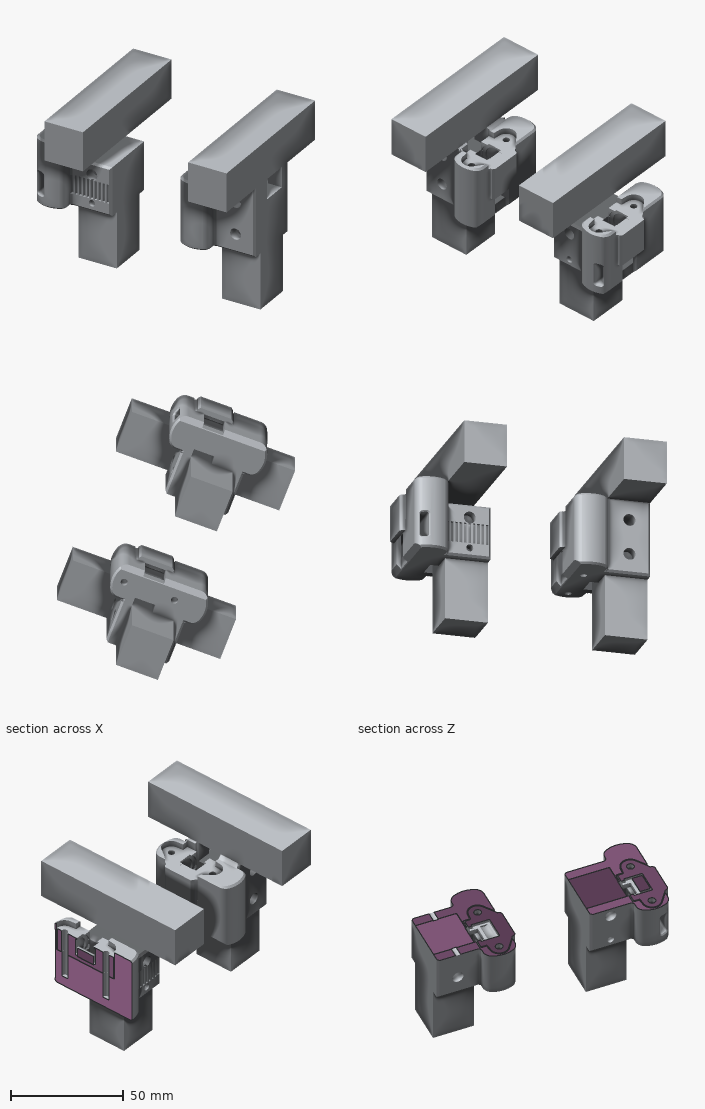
import cadquery as cq
import math

BAR = 19.9
TOTAL_X = 113.0
TOTAL_Z = 83.5
BAR_LENGTH = 77.7
UNIT_PITCH = 74.2
BAR_BACK = TOTAL_X - UNIT_PITCH
BAR_FRONT = BAR_BACK - BAR
BAR_BOTTOM = TOTAL_Z - BAR
POST_TOP = 53.3
POST_Y = 0.8

CHEEK = 5.0
BRACKET_HALF = BAR / 2 + CHEEK
BASE_Z = 28.6
BRACKET_CHAMFER = 1.0
ROOT = 4.5
COVE = 0.9
HOLE_X = BAR_FRONT + BAR / 2
BOLT_D = 5.5
PILOT_D = 3.3
LEFT_BOLT_Z = 47.2
LEFT_PILOT_Z = 32.8
RIGHT_BOLT_Z = (38.0, 54.1)
SLOPE_START_X = 16.7

GROOVE_PITCH = 2.0
GROOVE_WIDTH = 1.2
GROOVE_DEPTH = 1.4
GROOVE_BOTTOM = 35.0
GROOVE_TOP = 44.5
GROOVE_STEPS = range(-5, 5)

SHELL_FRONT = 2.3
SHELL_BACK = 18.0
SHELL_TOP = 62.4
SHELL_Y = 1.0
SHELL_HALF = 22.5
END_RADIUS = 12.4
FRONT_CORNER_RADIUS = 4.5
BACK_CORNER_RADIUS = 4.3
RIM_CHAMFER = 0.9
FRONT_CHAMFER = 2.5

CHANNEL_WIDTH = 9.8
CHANNEL_Y = POST_Y + BAR / 2 - CHANNEL_WIDTH / 2
FRONT_CHANNEL_DEPTH = 2.1
BACK_CHANNEL_X = 14.9
STRAP_FRONT = 4.2
STRAP_BACK = 7.9
STRAP_BOTTOM = 33.8
STRAP_TOP = 45.3
STRAP_RADIUS = 1.0
STRAP_FLARE = 0.6

LATCH_Y = CHANNEL_Y
LATCH_TOP = 59.4
LATCH_BOTTOM = 47.5
LIP_BOTTOM = 42.5
LATCH_CLEARANCE = 0.2
PLATE_HALF = 8.4
PLATE_CORNER = 1.0
PLATE_STEP_X = 1.8
EAR_X = 9.8
EAR_OFFSET = 12.0
EAR_RADIUS = 4.4
EAR_FOOT = 9.2
NECK_X = 14.6
ARM_BACK = 17.5
ARM_HALF = 9.2
ARM_GAP_HALF = 3.7
SCREW_D = 3.3
SCREW_PILOT_D = 3.2
LEFT_SCREW_BOTTOM = 33.9
WINDOW_FRONT = 6.9
WINDOW_HALF = 4.7
RECESS_X = 10.2
RECESS_Z = 53.0
RECESS_D = 14.9
BORE_D = 11.3
BORE_HALF = 5.6
WINDOW_FLOOR = 50.0
FLOOR_BACK = 13.2
NOTCH_FRONT = 5.2
NOTCH_HALF = 3.3
NOTCH_DEPTH = 0.2

PIN_D = 5.2
PIN_X = 9.8
SEAT_WIDTH = 4.0
PIN_Z = WINDOW_FLOOR + math.sqrt((PIN_D / 2) ** 2 - (SEAT_WIDTH / 2) ** 2)


def block(x0, x1, y0, y1, z0, z1):
    """Box between two opposite corners."""
    return cq.Workplane("XY").box(x1 - x0, y1 - y0, z1 - z0, centered=False).translate((x0, y0, z0))


def y_cylinder(x, z, diameter, y0, y1):
    """Cylinder along Y."""
    return cq.Workplane("XZ", origin=(x, y0, z)).circle(diameter / 2).extrude(y0 - y1)


def make_bar():
    return block(BAR_FRONT, BAR_BACK, -BAR_LENGTH / 2, BAR_LENGTH / 2, BAR_BOTTOM, TOTAL_Z)


def make_post():
    return block(BAR_FRONT, BAR_BACK, POST_Y - BAR / 2, POST_Y + BAR / 2, 0, POST_TOP)


def make_shell():
    """Rounded shell with rim chamfers and a larger chamfer under its front."""
    depth = SHELL_BACK - SHELL_FRONT
    middle = (SHELL_FRONT + SHELL_BACK) / 2
    end_drop = END_RADIUS - math.sqrt(END_RADIUS ** 2 - (depth / 2) ** 2)
    low, high = SHELL_Y - SHELL_HALF, SHELL_Y + SHELL_HALF
    shell = (
        cq.Workplane("XY", origin=(0, 0, BASE_Z))
        .moveTo(SHELL_FRONT, low + end_drop)
        .threePointArc((middle, low), (SHELL_BACK, low + end_drop))
        .lineTo(SHELL_BACK, high - end_drop)
        .threePointArc((middle, high), (SHELL_FRONT, high - end_drop))
        .close()
        .extrude(SHELL_TOP - BASE_Z)
        .edges("|Z and <X").fillet(FRONT_CORNER_RADIUS)
        .edges("|Z and >X").fillet(BACK_CORNER_RADIUS)
        .faces("<Z or >Z").edges().chamfer(RIM_CHAMFER)
    )
    wedge = (
        cq.Workplane("XZ", origin=(0, low, 0))
        .moveTo(SHELL_FRONT, BASE_Z)
        .lineTo(SHELL_FRONT + FRONT_CHAMFER, BASE_Z)
        .lineTo(SHELL_FRONT, BASE_Z + FRONT_CHAMFER)
        .close()
        .extrude(-2 * SHELL_HALF)
    )
    return shell.cut(wedge)


def make_bracket(top):
    """Block around the post, flared where it meets the shell."""
    low, high = POST_Y - BRACKET_HALF, POST_Y + BRACKET_HALF
    body = block(SHELL_BACK - ROOT, BAR_BACK, low, high, BASE_Z, top)
    body = body.faces("<Y or >Y").edges("not <X").chamfer(BRACKET_CHAMFER)
    flare = (
        cq.Workplane("XY", origin=(0, 0, BASE_Z))
        .polyline([
            (SHELL_BACK, low - COVE), (SHELL_BACK + COVE, low),
            (SHELL_BACK + COVE, high), (SHELL_BACK, high + COVE),
        ])
        .close()
        .extrude(top - BASE_Z)
        .faces("<Z or >Z").edges("not <X").edges("not >X").chamfer(BRACKET_CHAMFER)
    )
    return body.union(flare)


def ramp_relief(bracket_top):
    """Space above the ramp that rises from the shell top to the tall bracket top."""
    return (
        cq.Workplane("XZ", origin=(0, -BAR_LENGTH / 2, 0))
        .polyline([
            (0, SHELL_TOP), (SLOPE_START_X, SHELL_TOP), (BAR_FRONT, bracket_top), (0, bracket_top),
        ])
        .close()
        .extrude(-BAR_LENGTH)
    )


def latch_profile(clearance=0.0):
    """Latch outline from above, mirrored about its own centre line."""
    ear_radius = EAR_RADIUS + clearance
    dx, dv = EAR_X - SHELL_FRONT, EAR_OFFSET - EAR_FOOT
    reach = math.hypot(dx, dv)
    heading = math.atan2(dv, dx) + math.asin(ear_radius / reach)
    tangent = (EAR_X - ear_radius * math.sin(heading), EAR_OFFSET + ear_radius * math.cos(heading))
    plate = PLATE_HALF + clearance
    foot = EAR_FOOT + clearance
    arm = ARM_HALF + clearance
    neck = NECK_X + clearance
    back = SHELL_BACK if clearance else ARM_BACK

    def side(sign):
        return (
            cq.Workplane("XY")
            .moveTo(0, 0)
            .lineTo(0, sign * (plate - PLATE_CORNER))
            .lineTo(PLATE_CORNER, sign * plate)
            .lineTo(PLATE_STEP_X, sign * plate)
            .lineTo(SHELL_FRONT, sign * foot)
            .lineTo(tangent[0], sign * tangent[1])
            .threePointArc((EAR_X, sign * (EAR_OFFSET + ear_radius)), (EAR_X + ear_radius, sign * EAR_OFFSET))
            .lineTo(neck, sign * arm)
            .lineTo(back, sign * arm)
            .lineTo(back, 0)
            .close()
            .extrude(LATCH_TOP - LATCH_BOTTOM)
        )

    return side(1).union(side(-1)).translate((0, LATCH_Y, LATCH_BOTTOM))


def screw_holes(diameter, bottom):
    """Vertical cylinders on the two ear centres."""
    spots = [(EAR_X, LATCH_Y - EAR_OFFSET), (EAR_X, LATCH_Y + EAR_OFFSET)]
    return (
        cq.Workplane("XY", origin=(0, 0, bottom)).pushPoints(spots)
        .circle(diameter / 2).extrude(SHELL_TOP - bottom)
    )


def make_latch():
    latch = latch_profile()
    lip = (
        cq.Workplane("XY", origin=(0, LATCH_Y, LIP_BOTTOM))
        .polyline([
            (SHELL_FRONT, -EAR_FOOT), (PLATE_STEP_X, -PLATE_HALF), (PLATE_CORNER, -PLATE_HALF),
            (0, PLATE_CORNER - PLATE_HALF),
            (0, PLATE_HALF - PLATE_CORNER), (PLATE_CORNER, PLATE_HALF), (PLATE_STEP_X, PLATE_HALF),
            (SHELL_FRONT, EAR_FOOT),
        ])
        .close()
        .extrude(LATCH_TOP - LIP_BOTTOM)
    )

    def opening(x0, x1, half, bottom):
        return block(x0, x1, LATCH_Y - half, LATCH_Y + half, bottom, LATCH_TOP)

    def recess(diameter, half):
        disc = y_cylinder(RECESS_X, RECESS_Z, diameter, LATCH_Y - half, LATCH_Y + half)
        return disc.intersect(opening(WINDOW_FRONT, ARM_BACK, half, WINDOW_FLOOR))

    seat = y_cylinder(PIN_X, PIN_Z, PIN_D, LATCH_Y - WINDOW_HALF, LATCH_Y + WINDOW_HALF)
    return (
        latch.union(lip)
        .cut(opening(WINDOW_FRONT, ARM_BACK, ARM_GAP_HALF, WINDOW_FLOOR))
        .cut(recess(RECESS_D, WINDOW_HALF))
        .cut(recess(BORE_D, BORE_HALF))
        .cut(opening(FLOOR_BACK, ARM_BACK, ARM_GAP_HALF, LATCH_BOTTOM))
        .cut(opening(NOTCH_FRONT, WINDOW_FRONT, NOTCH_HALF, LATCH_TOP - NOTCH_DEPTH))
        .cut(seat)
        .cut(screw_holes(SCREW_D, LATCH_BOTTOM))
    )


def make_pin():
    return y_cylinder(PIN_X, PIN_Z, PIN_D, LATCH_Y - WINDOW_HALF, LATCH_Y + WINDOW_HALF)


def strap_slot(y0, y1):
    """Rounded slot running along Y."""
    return block(STRAP_FRONT, STRAP_BACK, y0, y1, STRAP_BOTTOM, STRAP_TOP).edges("|Y").fillet(STRAP_RADIUS)


def grip_grooves():
    """Row of upright grooves in the -Y cheek."""
    face = POST_Y - BRACKET_HALF
    grooves = cq.Workplane("XY")
    for step in GROOVE_STEPS:
        x = HOLE_X + step * GROOVE_PITCH
        grooves = grooves.union(block(
            x - GROOVE_WIDTH / 2, x + GROOVE_WIDTH / 2, face - COVE, face + GROOVE_DEPTH,
            GROOVE_BOTTOM, GROOVE_TOP,
        ))
    return grooves


def make_housing(bracket_top):
    """Shell and bracket with the openings shared by both units."""
    bracket = make_bracket(bracket_top)
    if bracket_top > SHELL_TOP:
        bracket = bracket.cut(ramp_relief(bracket_top))
    channel_low = CHANNEL_Y - CHANNEL_WIDTH / 2
    channel_high = CHANNEL_Y + CHANNEL_WIDTH / 2
    post_space = block(
        BAR_FRONT, BAR_BACK, POST_Y - BAR / 2, POST_Y + BAR / 2, BASE_Z, POST_TOP,
    )
    top_passage = block(
        SLOPE_START_X, BAR_BACK, LATCH_Y - ARM_HALF, LATCH_Y + ARM_GAP_HALF, POST_TOP, BAR_BOTTOM,
    )
    front_channel = block(
        SHELL_FRONT, SHELL_FRONT + FRONT_CHANNEL_DEPTH, channel_low, channel_high,
        BASE_Z, STRAP_TOP,
    )
    back_channel = block(
        BACK_CHANNEL_X, BAR_FRONT, channel_low, channel_high, BASE_Z, BAR_BOTTOM,
    )
    pocket = latch_profile(LATCH_CLEARANCE)
    pocket = pocket.union(pocket.translate((0, 0, BAR_BOTTOM - LATCH_TOP)))
    return (
        make_shell().union(bracket)
        .cut(post_space).cut(top_passage).cut(front_channel).cut(back_channel).cut(pocket)
    )


def make_left_housing():
    """Low bracket, strap slot through both ends, grip grooves, blind screw holes."""
    low, high = SHELL_Y - SHELL_HALF, SHELL_Y + SHELL_HALF
    bracket_low, bracket_high = POST_Y - BRACKET_HALF, POST_Y + BRACKET_HALF
    slot_mouths = cq.selectors.BoxSelector(
        (STRAP_FRONT - STRAP_FLARE, low, STRAP_BOTTOM - STRAP_FLARE),
        (STRAP_BACK + STRAP_FLARE, low + END_RADIUS / 2, STRAP_TOP + STRAP_FLARE),
    ) + cq.selectors.BoxSelector(
        (STRAP_FRONT - STRAP_FLARE, high - END_RADIUS / 2, STRAP_BOTTOM - STRAP_FLARE),
        (STRAP_BACK + STRAP_FLARE, high, STRAP_TOP + STRAP_FLARE),
    )
    return (
        make_housing(POST_TOP)
        .cut(strap_slot(low, high))
        .edges(slot_mouths).edges("not |Y").chamfer(STRAP_FLARE)
        .cut(grip_grooves())
        .cut(y_cylinder(HOLE_X, LEFT_BOLT_Z, BOLT_D, bracket_low, bracket_high))
        .cut(y_cylinder(HOLE_X, LEFT_PILOT_Z, PILOT_D, bracket_low, bracket_high))
        .cut(screw_holes(SCREW_PILOT_D, LEFT_SCREW_BOTTOM))
    )


def make_right_housing():
    """Tall bracket under the bar, closed ends, screw holes right through."""
    housing = (
        make_housing(BAR_BOTTOM)
        .cut(strap_slot(CHANNEL_Y - CHANNEL_WIDTH / 2, CHANNEL_Y + CHANNEL_WIDTH / 2))
        .cut(screw_holes(SCREW_PILOT_D, BASE_Z))
    )
    for z in RIGHT_BOLT_Z:
        housing = housing.cut(y_cylinder(HOLE_X, z, BOLT_D, POST_Y - BRACKET_HALF, POST_Y + BRACKET_HALF))
    return housing


right_shift = (UNIT_PITCH, 0, 0)
left_housing = make_left_housing()
right_housing = make_right_housing().translate(right_shift)
pin = make_pin()

paired_bodies = []
for make_body in (make_bar, make_post, make_latch):
    for shift in ((0, 0, 0), right_shift):
        paired_bodies.append(make_body().translate(shift).val())

result = cq.Compound.makeCompound([left_housing.val(), right_housing.val(), pin.val(), *paired_bodies])